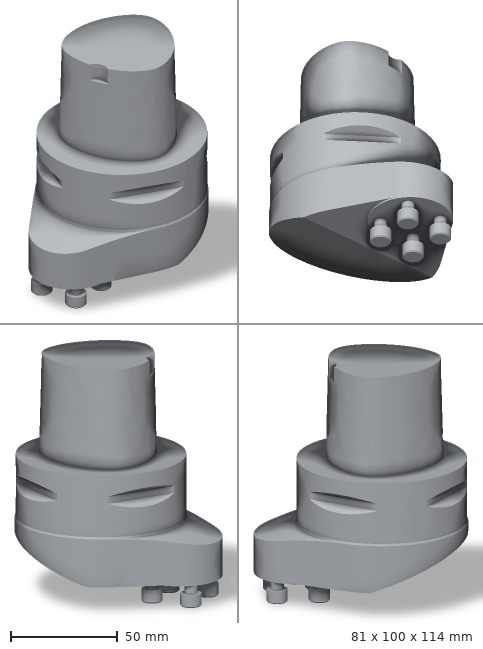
import cadquery as cq
import math

shank_top = 48.0
collar_bottom = -29.8
rim_bottom = -30.8
body_bottom = -54.0
pad_bottom = -54.8
neck_bottom = -59.8
total_height = 114.0
head_bottom = shank_top - total_height

collar_radius = 80.0 / 2
body_radius = 81.0 / 2
pad_radius = 40.0 / 2
arm_length = 40.1
arm_angle = -100.0
body_slope = 15.0
relief_slope = 20.0
relief_start = -9.1
cutter_size = 114.0

lobe_mean_radius = 27.6
lobe_height = 1.8
lobe_count = 3
lobe_angle = 90.0
taper_ratio = 1 / 20
profile_points = 36

keyway_radius = 6.0
keyway_offset = 28.0
keyway_depth = 8.2

groove_count = 4
groove_first_angle = 45.0
groove_z = -11.9
groove_floor = 35.6
groove_floor_height = 3.4
groove_mouth_height = 9.1
groove_overrun = 3.4

screw_count = 4
screw_circle_radius = 14.0
neck_radius = 6.0 / 2
head_radius = 10.0 / 2
head_chamfer = 0.6

arm_direction = math.radians(arm_angle)
pad_center = (arm_length * math.cos(arm_direction), arm_length * math.sin(arm_direction))


def polar(radius, angle, center=(0, 0)):
    """Point at an angle in radians on a circle."""
    return (center[0] + radius * math.cos(angle), center[1] + radius * math.sin(angle))


def cylinder(center, radius, bottom, top):
    return cq.Workplane("XY", origin=(*center, bottom)).circle(radius).extrude(top - bottom)


def make_lobed_wire(mean_radius, z):
    """Smooth lobed outline given by its distance to each tangent line."""
    points = []
    for i in range(profile_points):
        normal = 2 * math.pi * i / profile_points
        phase = lobe_count * (normal - math.radians(lobe_angle))
        distance = mean_radius + lobe_height * math.cos(phase)
        slide = -lobe_count * lobe_height * math.sin(phase)
        x = distance * math.cos(normal) - slide * math.sin(normal)
        y = distance * math.sin(normal) + slide * math.cos(normal)
        points.append(cq.Vector(x, y, z))
    return cq.Wire.assembleEdges([cq.Edge.makeSpline(points, periodic=True)])


def make_shank():
    top_radius = lobe_mean_radius - taper_ratio * shank_top / 2
    base = make_lobed_wire(lobe_mean_radius, 0)
    top = make_lobed_wire(top_radius, shank_top)
    shank = cq.Workplane(obj=cq.Solid.makeLoft([base, top], True))
    keyway = cylinder((0, -keyway_offset), keyway_radius, shank_top - keyway_depth, shank_top)
    return shank.cut(keyway)


def make_groove_cutter(angle):
    """Straight groove with flared sides, cut across the collar rim."""
    mouth = collar_radius + groove_overrun
    flare = (groove_mouth_height - groove_floor_height) / 2 / (collar_radius - groove_floor)
    floor_half = groove_floor_height / 2
    mouth_half = floor_half + flare * (mouth - groove_floor)
    outline = [
        (groove_floor, groove_z - floor_half),
        (mouth, groove_z - mouth_half),
        (mouth, groove_z + mouth_half),
        (groove_floor, groove_z + floor_half),
    ]
    cutter = cq.Workplane("XZ").polyline(outline).close().extrude(collar_radius, both=True)
    return cutter.rotate((0, 0, 0), (0, 0, 1), angle)


def make_collar():
    collar = cylinder((0, 0), collar_radius, collar_bottom, 0)
    for i in range(groove_count):
        collar = collar.cut(make_groove_cutter(groove_first_angle + i * 360 / groove_count))
    return collar


def make_body():
    """Two round ends joined by tangent sides, with a conical top and a sloped underside."""
    spread = math.acos((body_radius - pad_radius) / arm_length)
    right = arm_direction + spread
    left = arm_direction - spread
    body = (
        cq.Workplane("XY", origin=(0, 0, body_bottom))
        .moveTo(*polar(body_radius, right))
        .threePointArc(polar(body_radius, arm_direction + math.pi), polar(body_radius, left))
        .lineTo(*polar(pad_radius, left, pad_center))
        .threePointArc(
            polar(pad_radius, arm_direction, pad_center),
            polar(pad_radius, right, pad_center),
        )
        .close()
        .extrude(collar_bottom - body_bottom)
    )

    cone_drop = (cutter_size - body_radius) * math.tan(math.radians(body_slope))
    envelope = (
        cq.Workplane("XZ")
        .moveTo(0, collar_bottom)
        .lineTo(collar_radius, collar_bottom)
        .lineTo(body_radius, rim_bottom)
        .lineTo(cutter_size, rim_bottom - cone_drop)
        .lineTo(cutter_size, body_bottom)
        .lineTo(0, body_bottom)
        .close()
        .revolve(360, (0, 0, 0), (0, 1, 0))
    )
    body = body.intersect(envelope)

    relief_rise = cutter_size * math.tan(math.radians(relief_slope))
    relief = (
        cq.Workplane("XZ")
        .moveTo(relief_start, body_bottom)
        .lineTo(relief_start + cutter_size, body_bottom)
        .lineTo(relief_start + cutter_size, body_bottom + relief_rise)
        .close()
        .extrude(cutter_size, both=True)
        .rotate((0, 0, 0), (0, 0, 1), arm_angle + 180)
    )
    return body.cut(relief)


def make_screw(center):
    neck = cylinder(center, neck_radius, neck_bottom, pad_bottom)
    head = cylinder(center, head_radius, head_bottom, neck_bottom)
    return neck.union(head.faces("<Z").chamfer(head_chamfer))


result = make_body().union(make_collar()).union(make_shank())
result = result.union(cylinder(pad_center, pad_radius, pad_bottom, body_bottom))
for i in range(screw_count):
    screw_angle = arm_direction + 2 * math.pi * (i + 0.5) / screw_count
    result = result.union(make_screw(polar(screw_circle_radius, screw_angle, pad_center)))